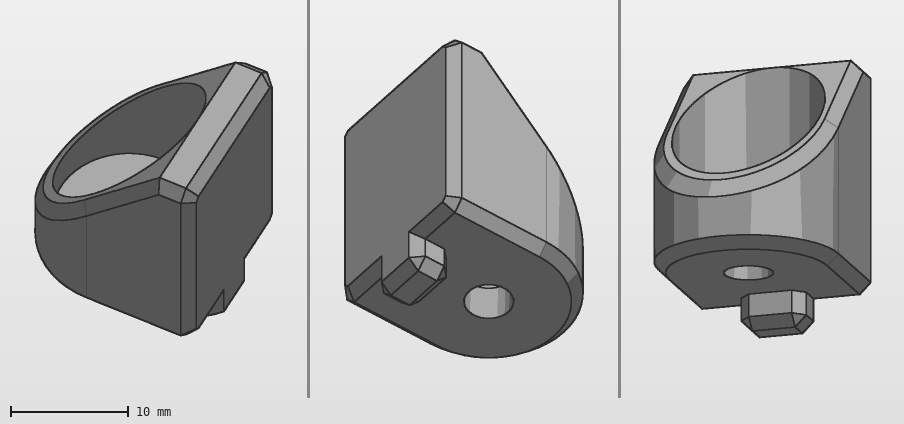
import cadquery as cq

total_height = 23.0
key_height = 3.0
key_length = 4.0
key_width = 5.8
body_length = 18.0
body_width = 16.0
chamfer = 1.0
bore_diameter = 13.0
floor_thickness = 3.5
screw_hole_diameter = 4.2
slope_top_x = 6.5

nose_radius = body_width / 2
back_x = body_length - nose_radius
body_height = total_height - key_height
nose_top_z = body_height - (slope_top_x + nose_radius)


def make_body():
    """Round-nosed block with a sloped top, its outer edges chamfered."""
    footprint = (
        cq.Workplane("XY")
        .moveTo(back_x, -nose_radius)
        .lineTo(back_x, nose_radius)
        .lineTo(0, nose_radius)
        .threePointArc((-nose_radius, 0), (0, -nose_radius))
        .close()
        .extrude(body_height)
    )
    side_profile = (
        cq.Workplane("XZ")
        .polyline([
            (-nose_radius, 0),
            (back_x, 0),
            (back_x, body_height),
            (slope_top_x, body_height),
            (-nose_radius, nose_top_z),
        ])
        .close()
        .extrude(nose_radius, both=True)
    )
    body = footprint.intersect(side_profile)
    body = body.edges("not(|Y or |Z)").chamfer(chamfer)
    return body.faces(">X").edges().chamfer(chamfer)


def make_key():
    """Locating key below the back edge, chamfered at its corners and lower end."""
    return (
        cq.Workplane("XY")
        .box(key_length, key_width, key_height + chamfer, centered=(False, True, False))
        .translate((back_x - key_length, 0, -key_height))
        .edges("|Z or <Z")
        .chamfer(chamfer)
    )


def vertical_hole(diameter, bottom_z):
    """Cutter on the bore axis, reaching from bottom_z to the top."""
    return cq.Workplane("XY").workplane(offset=bottom_z).circle(diameter / 2).extrude(body_height)


result = (
    make_body()
    .union(make_key())
    .cut(vertical_hole(bore_diameter, floor_thickness))
    .cut(vertical_hole(screw_hole_diameter, 0))
)